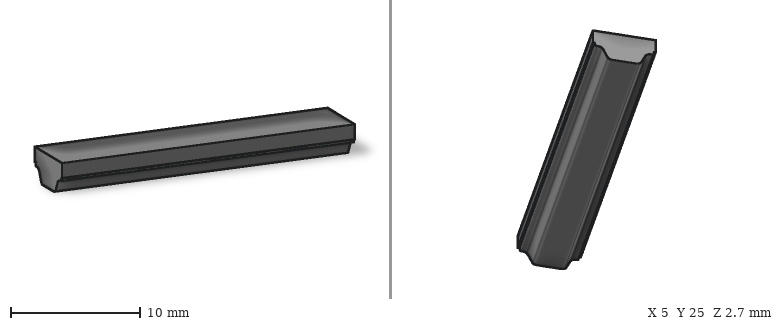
import cadquery as cq
import math

WIDTH = 5.0
LENGTH = 25.0
HEIGHT = 2.7

WALL_DEPTH = 1.22
SHOULDER_DEPTH = 1.52

LEDGE_WIDTH = 0.12
SHOULDER_ANGLE = math.radians(14)
SHOULDER_RADIUS = 0.12

FLANK_ANGLE = math.radians(25)
TIP_HALF_WIDTH = 1.25
ROOT_RADIUS = 0.48
TIP_RADIUS = 0.42

half_width = WIDTH / 2
shoulder_top = half_width - LEDGE_WIDTH
shoulder_bottom = shoulder_top - (SHOULDER_DEPTH - WALL_DEPTH) * math.tan(SHOULDER_ANGLE)
root_half_width = TIP_HALF_WIDTH + (HEIGHT - SHOULDER_DEPTH) * math.tan(FLANK_ANGLE)


def corner_arc(x, z, angle, radius, direction):
    """Flat end, middle and slope end of the arc rounding a sharp corner at (x, z).

    The slope leans outward by angle from vertical. The direction is +1 for an
    inside corner, with the flat outward of it, and -1 for an outside corner.
    """
    full_turn = math.pi / 2 - angle
    flat_x = x + direction * radius * math.tan(full_turn / 2)
    center_z = z - direction * radius

    def on_arc(turn):
        return (
            flat_x - direction * radius * math.sin(turn),
            center_z + direction * radius * math.cos(turn),
        )

    return on_arc(0), on_arc(full_turn / 2), on_arc(full_turn)


shoulder_flat, shoulder_mid, shoulder_side = corner_arc(
    shoulder_bottom, -SHOULDER_DEPTH, SHOULDER_ANGLE, SHOULDER_RADIUS, -1
)
root_flat, root_mid, root_flank = corner_arc(
    root_half_width, -SHOULDER_DEPTH, FLANK_ANGLE, ROOT_RADIUS, 1
)
tip_flat, tip_mid, tip_flank = corner_arc(
    TIP_HALF_WIDTH, -HEIGHT, FLANK_ANGLE, TIP_RADIUS, -1
)

half_profile = (
    cq.Workplane("XZ", origin=(0, LENGTH / 2, 0))
    .lineTo(half_width, 0)
    .lineTo(half_width, -WALL_DEPTH)
    .lineTo(shoulder_top, -WALL_DEPTH)
    .lineTo(*shoulder_side)
    .threePointArc(shoulder_mid, shoulder_flat)
    .lineTo(*root_flat)
    .threePointArc(root_mid, root_flank)
    .lineTo(*tip_flank)
    .threePointArc(tip_mid, tip_flat)
    .lineTo(0, -HEIGHT)
    .close()
)

half_bar = half_profile.extrude(LENGTH)
result = half_bar.union(half_bar.mirror("YZ")).clean()